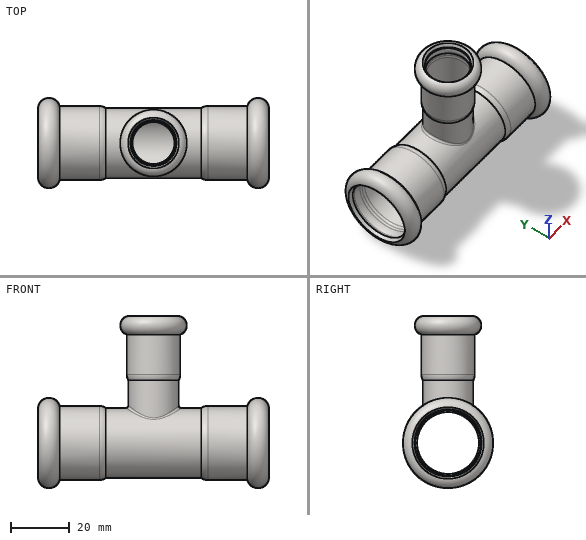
import cadquery as cq
import math

RUN_LENGTH = 78.6
BRANCH_HEIGHT = 43.2
WALL = 1.5
JUNCTION_FILLET = 0.8

RUN_PORT = dict(
    tube_diameter=24.0,
    socket_diameter=25.3,
    bead_diameter=30.8,
    mouth_diameter=24.4,
    land_diameter=22.9,
    bead_width=7.4,
    lead_in_depth=1.4,
    seal_width=3.15,
    seal_height=0.2,
    lands_end=6.4,
    shoulder_start=20.9,
    shoulder_end=23.0,
)
BRANCH_PORT = dict(
    tube_diameter=17.2,
    socket_diameter=18.3,
    bead_diameter=22.7,
    mouth_diameter=17.3,
    land_diameter=15.7,
    bead_width=6.4,
    lead_in_depth=1.2,
    seal_width=2.7,
    seal_height=0.3,
    lands_end=5.5,
    shoulder_start=19.9,
    shoulder_end=21.9,
)


def revolve_profile(profile):
    """Turn a closed (radius, depth) profile about the depth axis."""
    return profile.close().revolve(360, (0, 0), (0, 1))


def port_body(port, length):
    """Solid outside of one port, from its mouth (depth 0) to the tee centre."""
    tube_radius = port["tube_diameter"] / 2
    socket_radius = port["socket_diameter"] / 2
    bead_radius = port["bead_diameter"] / 2
    bead_middle = port["bead_width"] / 2
    mouth_radius = port["mouth_diameter"] / 2
    shoulder_start = port["shoulder_start"]

    return revolve_profile(
        cq.Workplane("XY")
        .lineTo(mouth_radius, 0)
        .threePointArc((bead_radius, bead_middle), (socket_radius, port["bead_width"]))
        .lineTo(socket_radius, shoulder_start)
        .tangentArcPoint((tube_radius, port["shoulder_end"]), relative=False)
        .lineTo(tube_radius, length)
        .lineTo(0, length)
    )


def port_bore(port, length):
    """Inside of one port: lead-in, seal bulge, socket bore, stop and tube bore."""
    mouth_radius = port["mouth_diameter"] / 2
    land_radius = port["land_diameter"] / 2
    socket_bore = port["socket_diameter"] / 2 - WALL
    tube_bore = port["tube_diameter"] / 2 - WALL
    seal_crest = land_radius - port["seal_height"]
    seal_middle = port["bead_width"] / 2
    seal_start = seal_middle - port["seal_width"] / 2
    seal_end = seal_middle + port["seal_width"] / 2

    return revolve_profile(
        cq.Workplane("XY")
        .lineTo(mouth_radius, 0)
        .lineTo(land_radius, port["lead_in_depth"])
        .lineTo(land_radius, seal_start)
        .threePointArc((seal_crest, seal_middle), (land_radius, seal_end))
        .lineTo(land_radius, port["lands_end"])
        .lineTo(socket_bore, port["bead_width"])
        .lineTo(socket_bore, port["shoulder_start"])
        .lineTo(tube_bore, port["shoulder_start"])
        .lineTo(tube_bore, length)
        .lineTo(0, length)
    )


def place_run_pair(shape):
    """Place a run port at the -X end and mirror it to the +X end."""
    left = shape.rotate((0, 0, 0), (0, 0, 1), -90).translate((-RUN_LENGTH / 2, 0, 0))
    return left.union(left.mirror("YZ"))


def place_branch(shape):
    """Stand a branch port upright with its mouth facing +Z."""
    return shape.rotate((0, 0, 0), (1, 0, 0), -90).translate((0, 0, BRANCH_HEIGHT))


run_body = place_run_pair(port_body(RUN_PORT, RUN_LENGTH / 2))
branch_body = place_branch(port_body(BRANCH_PORT, BRANCH_HEIGHT))
body = run_body.union(branch_body).clean()

run_tube_radius = RUN_PORT["tube_diameter"] / 2
branch_tube_radius = BRANCH_PORT["tube_diameter"] / 2
saddle_low = math.sqrt(run_tube_radius**2 - branch_tube_radius**2)
margin = 0.4
saddle_box = cq.selectors.BoxSelector(
    (-branch_tube_radius - margin, -branch_tube_radius - margin, saddle_low - margin),
    (branch_tube_radius + margin, branch_tube_radius + margin, run_tube_radius + margin),
    boundingbox=True,
)
body = body.edges(saddle_box).fillet(JUNCTION_FILLET)

run_bore = place_run_pair(port_bore(RUN_PORT, RUN_LENGTH / 2))
branch_bore = place_branch(port_bore(BRANCH_PORT, BRANCH_HEIGHT))
result = body.cut(run_bore).cut(branch_bore)